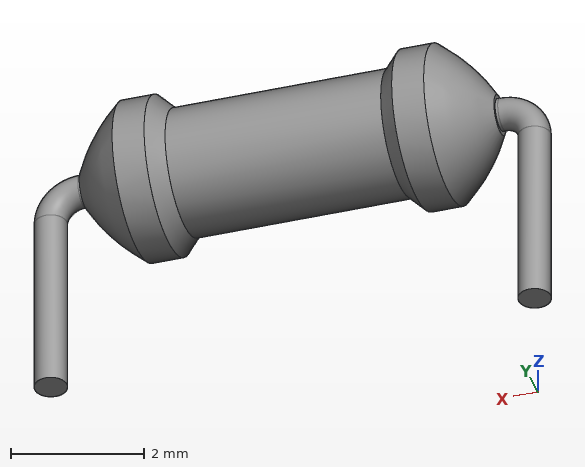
import cadquery as cq
import math

overall_length = 8.12
wire_diameter = 0.5
wire_radius = wire_diameter / 2
bend_radius = wire_diameter
leg_bottom_z = -3.52

collar_diameter = 2.5
collar_radius = collar_diameter / 2
barrel_diameter = 2.0
barrel_radius = barrel_diameter / 2
barrel_half_length = 1.7
collar_width = 0.5
collar_inner_x = barrel_half_length + collar_radius - barrel_radius
collar_outer_x = collar_inner_x + collar_width
body_half_length = 3.265
end_face_diameter = 0.625
end_face_radius = end_face_diameter / 2
dome_bulge = 0.065

leg_x = overall_length / 2 - wire_radius
bend_start_x = leg_x - bend_radius


def make_wire():
    """One continuous round wire: leg, bend, straight core, bend, leg."""
    bend_offset = bend_radius * math.sin(math.radians(45))
    bend_mid_x = bend_start_x + bend_offset
    bend_mid_z = bend_offset - bend_radius
    path = (
        cq.Workplane("XZ")
        .moveTo(-leg_x, leg_bottom_z)
        .lineTo(-leg_x, -bend_radius)
        .threePointArc((-bend_mid_x, bend_mid_z), (-bend_start_x, 0))
        .lineTo(bend_start_x, 0)
        .threePointArc((bend_mid_x, bend_mid_z), (leg_x, -bend_radius))
        .lineTo(leg_x, leg_bottom_z)
    )
    leg_end = cq.Workplane("XY", origin=(-leg_x, 0, leg_bottom_z))
    return leg_end.circle(wire_radius).sweep(path)


def make_body():
    """Turned body with a domed collar at each end and a bore for the wire."""
    dome_length = body_half_length - collar_outer_x
    dome_rise = collar_radius - end_face_radius
    dome_chord = math.hypot(dome_length, dome_rise)
    dome_mid_x = (body_half_length + collar_outer_x) / 2 + dome_bulge * dome_rise / dome_chord
    dome_mid_r = (collar_radius + end_face_radius) / 2 + dome_bulge * dome_length / dome_chord
    profile = (
        cq.Workplane("XY")
        .moveTo(-body_half_length, wire_radius)
        .lineTo(-body_half_length, end_face_radius)
        .threePointArc((-dome_mid_x, dome_mid_r), (-collar_outer_x, collar_radius))
        .lineTo(-collar_inner_x, collar_radius)
        .lineTo(-barrel_half_length, barrel_radius)
        .lineTo(barrel_half_length, barrel_radius)
        .lineTo(collar_inner_x, collar_radius)
        .lineTo(collar_outer_x, collar_radius)
        .threePointArc((dome_mid_x, dome_mid_r), (body_half_length, end_face_radius))
        .lineTo(body_half_length, wire_radius)
        .close()
    )
    return profile.revolve(360, (0, 0, 0), (1, 0, 0))


body = make_body()
wire = make_wire()

result = cq.Compound.makeCompound([body.val(), wire.val()])